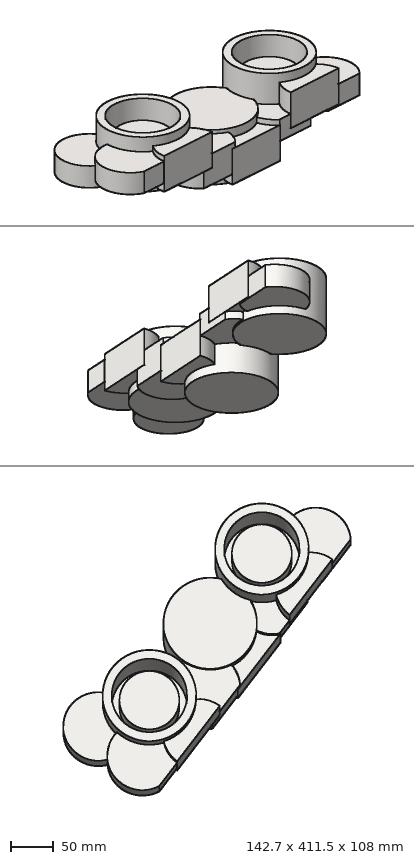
import cadquery as cq


drum_radius = 54.8
drum_height = 72.0
drum_x = -71.5
tongue_radius = 41.5
tongue_height = 47.5
tongue_inset = (drum_height - tongue_height) / 2
raised_z = 36.0
back_y = 101.0
front_y = -118.5

groove_radius = 44.0
core_radius = 35.0
core_depth = 24.5
groove_depth = drum_height - (drum_radius - groove_radius)

shelf_radius = 41.0
shelf_height = 29.0
shelf_x = -31.0
back_shelf_y = 151.5
back_shelf_z = 46.0
back_link_y = 67.0
back_link_z = 38.5
front_link_y = -64.3
front_link_z = 26.5
front_link_height = 40.8

front_disc_y = -178.0
outer_disc_x = -101.7
outer_disc_z = back_shelf_z
inner_disc_x = -37.5
inner_disc_z = 59.7


def cylinder(radius, height, x, y, z):
    """Upright cylinder standing on the given centre point."""
    return cq.Workplane("XY", origin=(x, y, z)).circle(radius).extrude(height)


def trim_at_wall(body):
    """Remove everything beyond the mounting plane X = 0."""
    size = 4 * (back_y - front_y)
    beyond_wall = cq.Workplane("XY").box(size, size, size).translate((size / 2, 0, 0))
    return body.cut(beyond_wall)


def solid_holder(y, z):
    """Drum and wall tongue, without a recess."""
    drum = cylinder(drum_radius, drum_height, drum_x, y, z)
    tongue = cylinder(tongue_radius, tongue_height, 0, y, z + tongue_inset)
    return drum.union(trim_at_wall(tongue))


def core_recess(y):
    """Sunken core top with a deeper ring groove around it, cut into a raised drum."""
    rim_z = raised_z + drum_height
    bore = cylinder(groove_radius, groove_depth, drum_x, y, rim_z - groove_depth)
    core = cylinder(core_radius, groove_depth - core_depth, drum_x, y, rim_z - groove_depth)
    return bore.cut(core)


def shelf_disc(x, y, z, height=shelf_height):
    """Round disc trimmed at the mounting plane."""
    return trim_at_wall(cylinder(shelf_radius, height, x, y, z))


drum_pair_blank = solid_holder(back_y, raised_z).union(solid_holder(0, 0))
front_drum_blank = solid_holder(front_y, raised_z)
drum_pair = drum_pair_blank.cut(core_recess(back_y))
front_drum = front_drum_blank.cut(core_recess(front_y))


def seat_around_drums(shelf):
    """Notch a shelf so that it fits against the drums and their tongues."""
    return shelf.cut(drum_pair_blank).cut(front_drum_blank)


back_shelf = seat_around_drums(shelf_disc(shelf_x, back_shelf_y, back_shelf_z))
back_link = seat_around_drums(shelf_disc(shelf_x, back_link_y, back_link_z))
front_link = seat_around_drums(shelf_disc(shelf_x, front_link_y, front_link_z, front_link_height))
outer_disc = shelf_disc(outer_disc_x, front_disc_y, outer_disc_z)
inner_disc = shelf_disc(inner_disc_x, front_disc_y, inner_disc_z)
front_shelf = seat_around_drums(outer_disc.union(inner_disc))

bodies = [drum_pair, front_drum, back_shelf, back_link, front_link, front_shelf]
result = cq.Compound.makeCompound([body.solids().val() for body in bodies])